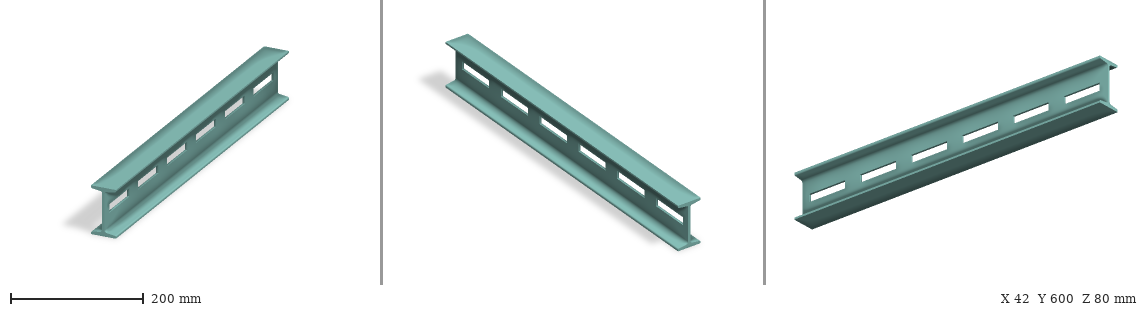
import cadquery as cq

length = 600.0
width = 42.0
height = 80.0

web_thickness = 3.9
flange_thickness = 5.7
flange_slope = 0.14
root_radius = 3.9
tip_radius = 2.3

slot_count = 6
slot_length = 70.0
slot_height = 14.0
slot_pitch = length / slot_count
slot_shift = 1.5


def flange_inner_height(x):
    """Height of the sloping inner flange face above the beam axis."""
    return height / 2 - flange_thickness + flange_slope * (x - width / 4)


def make_beam():
    half_width = width / 2
    half_height = height / 2
    half_web = web_thickness / 2
    tip_z = flange_inner_height(half_width)
    root_z = flange_inner_height(half_web)
    outline = [
        (-half_width, half_height),
        (half_width, half_height),
        (half_width, tip_z),
        (half_web, root_z),
        (half_web, -root_z),
        (half_width, -tip_z),
        (half_width, -half_height),
        (-half_width, -half_height),
        (-half_width, -tip_z),
        (-half_web, -root_z),
        (-half_web, root_z),
        (-half_width, tip_z),
    ]
    beam = cq.Workplane("XZ").polyline(outline).close().extrude(length / 2, both=True)

    def edges_at(x, z):
        """The four lengthwise edges at (+-x, +-z)."""
        margin = 0.05
        picked = beam.newObject([])
        for side_x in (-x, x):
            for side_z in (-z, z):
                box = cq.selectors.BoxSelector(
                    (side_x - margin, -length, side_z - margin),
                    (side_x + margin, length, side_z + margin),
                )
                picked = picked.add(beam.edges("|Y").edges(box))
        return picked

    beam = edges_at(half_web, root_z).fillet(root_radius)
    return edges_at(half_width, tip_z).fillet(tip_radius)


def make_slots():
    return (
        cq.Workplane("YZ")
        .center(slot_shift, 0)
        .rarray(slot_pitch, 6, slot_count, 1)
        .rect(slot_length, slot_height)
        .extrude(width, both=True)
    )


result = make_beam().cut(make_slots())